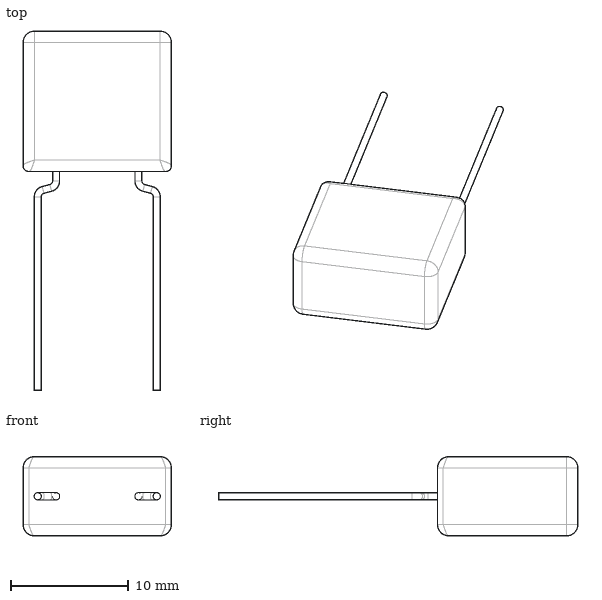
import cadquery as cq
import math

CASE_WIDTH = 12.7
CASE_DEPTH = 12.0
CASE_HEIGHT = 6.8
EDGE_RADIUS = 0.98
FRONT_SIDE_RADIUS = 0.5

OVERALL_LENGTH = 30.72
WIRE_DIAMETER = 0.6
ROOT_SPACING = 7.05
TIP_SPACING = 10.17
ROOT_LENGTH = 0.8
BEND_RADIUS = 0.6
BEND_ANGLE = 75.0
TIP_Y = CASE_DEPTH - OVERALL_LENGTH


def make_case():
    box = cq.Workplane("XY").box(CASE_WIDTH, CASE_DEPTH, CASE_HEIGHT)
    box = box.translate((0, CASE_DEPTH / 2, 0))
    box = box.edges("|Z and <Y").fillet(FRONT_SIDE_RADIUS)
    box = box.edges("|Z and >Y").fillet(EDGE_RADIUS)
    return box.faces("<Z or >Z").edges().fillet(EDGE_RADIUS)


def make_lead(side):
    """Sweep one wire; side is -1 for the left lead and +1 for the right."""
    angle = math.radians(BEND_ANGLE)
    offset = (TIP_SPACING - ROOT_SPACING) / 2
    bend_out = BEND_RADIUS * (1 - math.cos(angle))
    bend_forward = BEND_RADIUS * math.sin(angle)
    mid_out = BEND_RADIUS * (1 - math.cos(angle / 2))
    mid_forward = BEND_RADIUS * math.sin(angle / 2)
    slope_forward = (offset - 2 * bend_out) / math.tan(angle)

    root_x = ROOT_SPACING / 2
    tip_x = TIP_SPACING / 2
    first_bend_y = -ROOT_LENGTH
    second_bend_y = first_bend_y - 2 * bend_forward - slope_forward

    def point(x, y):
        return (side * x, y)

    path = (
        cq.Workplane("XY")
        .moveTo(*point(root_x, 0))
        .lineTo(*point(root_x, first_bend_y))
        .threePointArc(
            point(root_x + mid_out, first_bend_y - mid_forward),
            point(root_x + bend_out, first_bend_y - bend_forward),
        )
        .lineTo(*point(tip_x - bend_out, second_bend_y + bend_forward))
        .threePointArc(
            point(tip_x - mid_out, second_bend_y + mid_forward),
            point(tip_x, second_bend_y),
        )
        .lineTo(*point(tip_x, TIP_Y))
    )
    section = cq.Workplane("XZ").center(side * root_x, 0).circle(WIRE_DIAMETER / 2)
    return section.sweep(path)


case = make_case()
leads = [make_lead(side) for side in (-1, 1)]

result = cq.Compound.makeCompound([case.val(), *[lead.val() for lead in leads]])